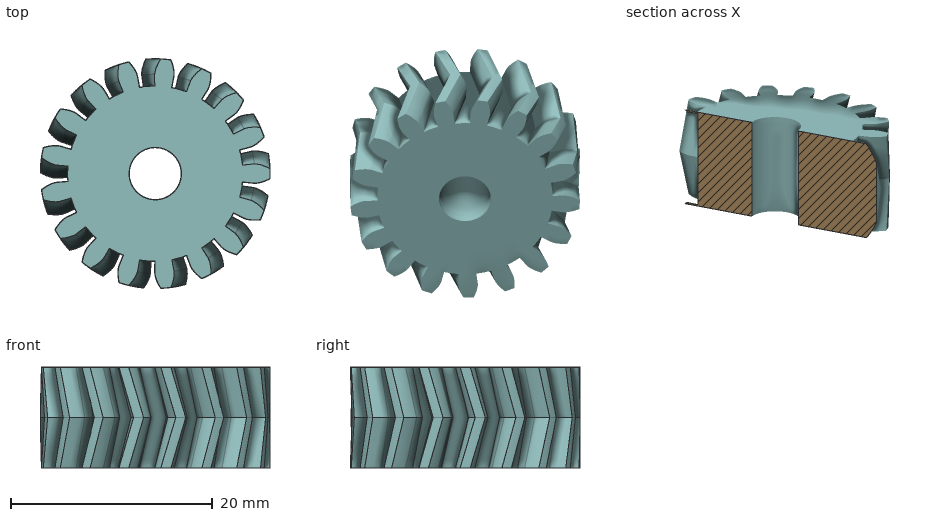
import cadquery as cq
import math

module = 1.2
tooth_count = 17
pressure_angle = math.radians(14.5)
helix_angle = math.radians(15)
face_width = 10.0
bore_diameter = 5.15
clearance_factor = 0.25
flank_samples = 5

pitch_radius = module * tooth_count / 2
base_radius = pitch_radius * math.cos(pressure_angle)
tip_radius = pitch_radius + module
root_radius = pitch_radius - (1 + clearance_factor) * module

tooth_overlap = 0.5
sunk_radius = root_radius - tooth_overlap

half_width = face_width / 2
twist = math.degrees(half_width * math.tan(helix_angle) / pitch_radius)

tooth_pitch = 2 * math.pi / tooth_count


def involute(angle):
    """Involute function of a pressure angle, in radians."""
    return math.tan(angle) - angle


base_half_angle = tooth_pitch / 4 + involute(pressure_angle)


def polar(radius, angle):
    return (radius * math.cos(angle), radius * math.sin(angle))


def half_angle_at(radius):
    """Half the angle a tooth spans at a radius on its involute flank."""
    return base_half_angle - involute(math.acos(base_radius / radius))


def flank_radii():
    """Radii from the base circle to the tip circle."""
    step = (tip_radius - base_radius) / (flank_samples - 1)
    return [base_radius + i * step for i in range(flank_samples - 1)] + [tip_radius]


def tooth_outline(center):
    """Closed profile of one tooth: radial below the base circle, involute above, sunk into the hub."""
    radii = flank_radii()
    rising = [polar(r, center - half_angle_at(r)) for r in radii]
    falling = [polar(r, center + half_angle_at(r)) for r in reversed(radii)]
    return (
        cq.Workplane("XY")
        .moveTo(*polar(sunk_radius, center - base_half_angle))
        .lineTo(*rising[0])
        .spline(rising[1:], includeCurrent=True)
        .threePointArc(polar(tip_radius, center), falling[0])
        .spline(falling[1:], includeCurrent=True)
        .lineTo(*polar(sunk_radius, center + base_half_angle))
        .close()
    )


def herringbone_tooth(index):
    """One tooth twisted away from the middle plane in both directions.

    The first tooth points along +X on both end faces.
    """
    center = math.radians(twist) + index * tooth_pitch
    outline = tooth_outline(center)
    upper_half = outline.twistExtrude(half_width, -twist)
    return upper_half.union(upper_half.mirror("XY"))


def hub():
    """Cylinder at the root diameter, centered on the middle plane."""
    return cq.Workplane("XY").circle(root_radius).extrude(half_width, both=True)


def bore():
    return cq.Workplane("XY").circle(bore_diameter / 2).extrude(half_width, both=True)


gear = hub()
for tooth_index in range(tooth_count):
    gear = gear.union(herringbone_tooth(tooth_index))

result = gear.cut(bore())